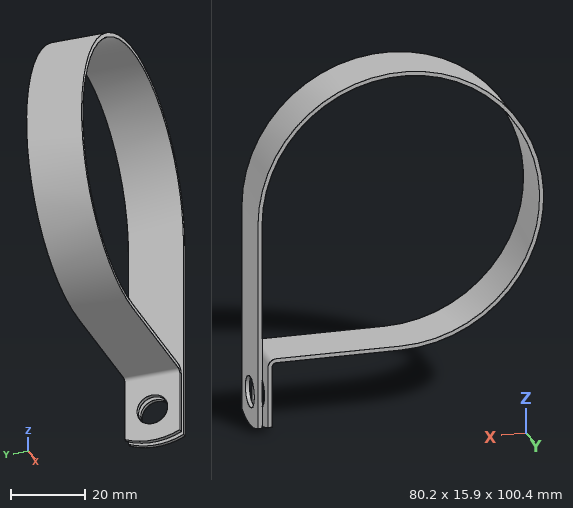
import cadquery as cq

strap_width = 15.9
thickness = 1.2
loop_diameter = 80.2
total_height = 100.4

leg_gap = 1.6
bend_outer_radius = 2.4
hole_diameter = 8.7
hole_above_end = 9.5
end_sagitta = 1.7

outer_radius = loop_diameter / 2
inner_radius = outer_radius - thickness
bend_inner_radius = bend_outer_radius - thickness
end_z = outer_radius - total_height
short_leg_outer_x = inner_radius - leg_gap
short_leg_inner_x = short_leg_outer_x - thickness
bend_x = short_leg_outer_x - bend_outer_radius
bend_z = -inner_radius - bend_outer_radius
half_diagonal = 0.5 ** 0.5


def arc_middle(center_x, center_z, radius):
    """Point on an arc at 45 degrees, towards +X and +Z."""
    return (center_x + radius * half_diagonal, center_z + radius * half_diagonal)


def make_strap():
    """Bent strip: long leg, three-quarter loop, flat shelf, bend and short leg."""
    return (
        cq.Workplane("XZ")
        .moveTo(outer_radius, end_z)
        .lineTo(outer_radius, 0)
        .threePointArc((-outer_radius * half_diagonal, outer_radius * half_diagonal), (0, -outer_radius))
        .lineTo(bend_x, -outer_radius)
        .threePointArc(arc_middle(bend_x, bend_z, bend_inner_radius), (short_leg_inner_x, bend_z))
        .lineTo(short_leg_inner_x, end_z)
        .lineTo(short_leg_outer_x, end_z)
        .lineTo(short_leg_outer_x, bend_z)
        .threePointArc(arc_middle(bend_x, bend_z, bend_outer_radius), (bend_x, -inner_radius))
        .lineTo(0, -inner_radius)
        .threePointArc((-inner_radius * half_diagonal, inner_radius * half_diagonal), (inner_radius, 0))
        .lineTo(inner_radius, end_z)
        .close()
        .extrude(strap_width / 2, both=True)
    )


def make_end_envelope():
    """Side outline with a rounded lower end, spanning the whole loop along X."""
    half_width = strap_width / 2
    return (
        cq.Workplane("YZ")
        .moveTo(-half_width, outer_radius)
        .lineTo(-half_width, end_z + end_sagitta)
        .threePointArc((0, end_z), (half_width, end_z + end_sagitta))
        .lineTo(half_width, outer_radius)
        .close()
        .extrude(outer_radius, both=True)
    )


def make_bolt_hole():
    """Cylinder along X through both legs."""
    return (
        cq.Workplane("YZ")
        .center(0, end_z + hole_above_end)
        .circle(hole_diameter / 2)
        .extrude(loop_diameter)
    )


result = make_strap().intersect(make_end_envelope()).cut(make_bolt_hole())